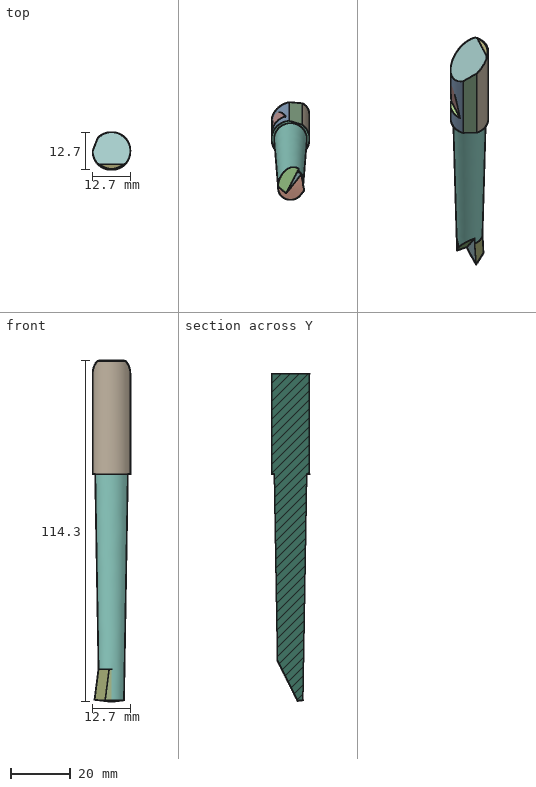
import cadquery as cq
import math

total_length = 114.3
shank_length = 38.1
shank_diameter = 12.7
shank_radius = shank_diameter / 2
neck_top_radius = 5.5
tip_radius = 4.2
neck_length = total_length - shank_length
end_cone_rise = 0.5

shank_edge_chamfer = 0.4
bevel_angle = 45
bevel_start_y = -4.5
side_flat_y = 4.3
notch_start = 16.5
notch_length = 13.8
notch_top = total_length - notch_start
notch_bottom = notch_top - notch_length
notch_depth = 1.3

head_height = 10.9
tip_reach = 5.8
tip_reach_top = 4.4
rake_width = 3.6
rake_stock = 1.0

relief_start = 13.9
relief_slope = 2.0

margin = 2.0


def side_prism(points, x_start, x_end):
    """Extrude a closed (Y, Z) outline along X."""
    return cq.Workplane("YZ").workplane(offset=x_start).polyline(points).close().extrude(x_end - x_start)


def neck_radius(z):
    """Radius of the tapered neck at height z."""
    return tip_radius + (neck_top_radius - tip_radius) * z / neck_length


def make_body():
    """Turned blank: neck widening upward to a shoulder, then a straight shank."""
    return (
        cq.Workplane("XZ")
        .moveTo(0, 0)
        .lineTo(tip_radius, 0)
        .lineTo(neck_top_radius, neck_length)
        .lineTo(shank_radius, neck_length)
        .lineTo(shank_radius, total_length - shank_edge_chamfer)
        .lineTo(shank_radius - shank_edge_chamfer, total_length)
        .lineTo(0, total_length)
        .close()
        .revolve(360, (0, 0, 0), (0, 1, 0))
    )


def bevel_cut():
    """Slanted end of the shank, falling toward +Y."""
    outer_y = shank_radius + margin
    drop = (outer_y - bevel_start_y) * math.tan(math.radians(bevel_angle))
    outline = [
        (bevel_start_y, total_length),
        (outer_y, total_length),
        (outer_y, total_length - drop),
    ]
    return side_prism(outline, -shank_radius - margin, shank_radius + margin)


def notch_cut():
    """Wedge notch across the +Y side of the shank, deepest at its lower end."""
    outline = [
        (shank_radius, notch_top),
        (shank_radius, notch_bottom),
        (shank_radius - notch_depth, notch_bottom),
    ]
    return side_prism(outline, -shank_radius, shank_radius)


def side_flat_cut():
    """Lengthwise flat on the -X side of the shank, on a chord from Y = 0."""
    chord_end_x = -math.sqrt(shank_radius**2 - side_flat_y**2)
    return (
        cq.Workplane("XY")
        .workplane(offset=neck_length)
        .polyline([
            (-shank_radius, 0),
            (chord_end_x, side_flat_y),
            (-shank_radius, side_flat_y),
        ])
        .close()
        .extrude(shank_length)
    )


def relief_cut():
    """Clearance behind the cutting edge: clears the +Y half below a steep slanted plane."""
    outer_x = -tip_reach
    start_x = -neck_radius(relief_start)
    top_z = relief_start + relief_slope * (start_x - outer_x)
    bottom_z = -margin
    inner_x = outer_x + (top_z - bottom_z) / relief_slope
    return (
        cq.Workplane("XZ")
        .polyline([(outer_x, top_z), (outer_x, bottom_z), (inner_x, bottom_z)])
        .close()
        .extrude(-tip_reach)
    )


def leaning_prism(section):
    """Loft between a section at the tip and one at the top of the head."""
    return (
        cq.Workplane("XY")
        .polyline(section(0, -tip_reach))
        .close()
        .workplane(offset=head_height)
        .polyline(section(head_height, -tip_reach_top))
        .close()
        .loft(ruled=True)
    )


def wedge_section(z, edge_x):
    """Wedge outline at height z, front tangent to the neck, with stock left on the rake face."""
    front_y = -neck_radius(z)
    rake_end_x = edge_x + rake_width
    return [
        (edge_x - rake_stock, 0),
        (rake_end_x - rake_stock, front_y),
        (0, front_y),
        (rake_end_x, 0),
    ]


def rake_section(z, edge_x):
    """Area in front of the rake face at height z, reaching outside the neck."""
    front_y = -neck_radius(z)
    rake_end_x = edge_x + rake_width
    outer_x = -tip_reach - margin
    outer_y = -tip_reach - margin
    return [
        (edge_x, 0),
        (rake_end_x, front_y),
        (rake_end_x, outer_y),
        (outer_x, outer_y),
        (outer_x, 0),
    ]


def end_trim():
    """Everything below the shallow cone that closes the cutting end."""
    trim_radius = tip_reach + margin
    trim_top = end_cone_rise * trim_radius / tip_radius
    disc = cq.Workplane("XY").circle(trim_radius).extrude(trim_top)
    return disc.cut(
        cq.Workplane("YZ")
        .polyline([(0, 0), (trim_radius, trim_top), (0, trim_top)])
        .close()
        .revolve(360, (0, 0, 0), (0, 1, 0))
    )


blank = make_body().cut(bevel_cut()).cut(notch_cut()).cut(side_flat_cut())
head_wedge = leaning_prism(wedge_section)
rake_cut = leaning_prism(rake_section)
result = blank.union(head_wedge).cut(rake_cut).cut(end_trim()).cut(relief_cut())